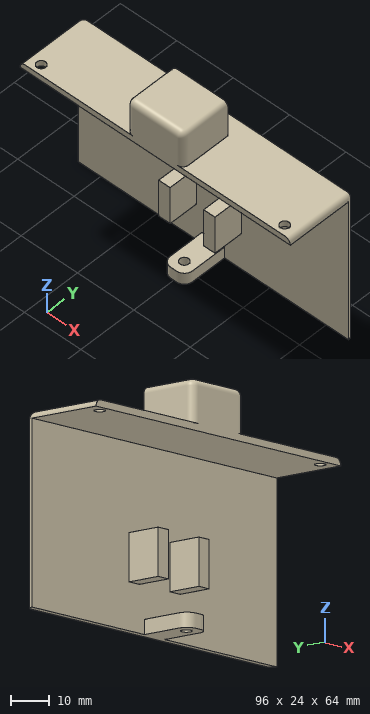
import cadquery as cq

length = 96.0
depth = 24.0
total_height = 64.0
shelf_top = 52.0
thickness = 2.0
edge_radius = thickness

front_y = -depth / 2
back_y = depth / 2
wall_face_y = back_y - thickness

block_width = 20.0
block_depth = 17.0

rib_width = 4.0
rib_reach = 10.0
rib_bottom = 13.0
rib_height = 13.1

lug_width = 8.0
lug_reach = 15.0
lug_height = 4.0
lug_corner_radius = 3.0

hole_diameter = 3.0
shelf_hole_side_inset = 4.8
shelf_hole_front_inset = 3.0
lug_hole_tip_inset = 4.0


def box_between(x0, x1, y0, y1, z0, z1):
    """Box spanning the given ranges along X, Y and Z."""
    return cq.Workplane("XY").box(x1 - x0, y1 - y0, z1 - z0, centered=False).translate((x0, y0, z0))


def drill(x, y, top, drill_depth):
    """Vertical screw hole going down from the given top height."""
    return cq.Workplane("XY", origin=(x, y, top)).circle(hole_diameter / 2).extrude(-drill_depth)


def make_shell():
    """Wall and shelf, rounded along the top back, top end and rear vertical edges."""
    body = box_between(-length / 2, length / 2, front_y, back_y, 0, shelf_top)
    body = body.edges("(>Z and (>Y or >X or <X)) or (|Z and >Y)").fillet(edge_radius)
    space_below_shelf = box_between(
        -length / 2, length / 2, front_y, wall_face_y, 0, shelf_top - thickness
    )
    return body.cut(space_below_shelf)


def make_block():
    """Solid block with rounded front and side edges and a sharp rear edge."""
    block = box_between(
        -block_width / 2, block_width / 2, front_y, front_y + block_depth, shelf_top - thickness, total_height
    )
    return block.edges("(>Z and (<Y or >X or <X)) or (|Z and <Y)").fillet(edge_radius)


def make_rib(side):
    """Rib on the wall; side is -1 for left and 1 for right."""
    center_x = side * (block_width - rib_width) / 2
    return box_between(
        center_x - rib_width / 2, center_x + rib_width / 2,
        wall_face_y - rib_reach, wall_face_y,
        rib_bottom, rib_bottom + rib_height,
    )


def make_lug():
    """Foot lug with rounded tip corners and a screw hole."""
    tip_y = wall_face_y - lug_reach
    lug = box_between(-lug_width / 2, lug_width / 2, tip_y, wall_face_y, 0, lug_height)
    lug = lug.edges("|Z and <Y").fillet(lug_corner_radius)
    return lug.cut(drill(0, tip_y + lug_hole_tip_inset, lug_height, lug_height))


result = make_shell().union(make_block()).union(make_lug())
for side in (-1, 1):
    hole_x = side * (length / 2 - shelf_hole_side_inset)
    result = result.union(make_rib(side))
    result = result.cut(drill(hole_x, front_y + shelf_hole_front_inset, shelf_top, thickness))